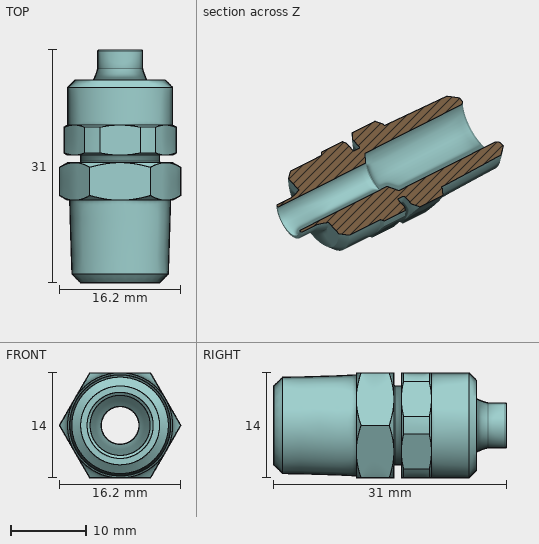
import cadquery as cq
import math


thread_chamfer_y = 1.2
thread_end_y = 11.0
body_hex_end_y = 16.0
nut_start_y = 17.0
nut_hex_end_y = 21.0
nut_end_y = 27.0
stem_flare_y = 28.5
stem_end_y = 31.0

thread_gauge_radius = 13.157 / 2
thread_gauge_y = 6.0
thread_radius_slope = 1 / 32
thread_tip_radius = thread_gauge_radius - (thread_gauge_y - thread_chamfer_y) * thread_radius_slope
thread_root_radius = thread_gauge_radius + (thread_end_y - thread_gauge_y) * thread_radius_slope
thread_face_radius = 5.25

across_flats = 14.0
across_corners = across_flats / math.cos(math.radians(30))
hex_chamfer_angle = math.radians(30)
hex_face_radius = across_flats / 2
nut_corner_radius = 7.5

neck_radius = 5.25
neck_fillet = 0.2
sleeve_radius = across_flats / 2
sleeve_chamfer = 1.0
stem_radius = 3.0
stem_flare_radius = 3.55
flare_hollow = 0.03
stem_edge_fillet = 0.2

arc_middle_offset = 1 - math.sin(math.radians(45))

through_radius = 2.5
bore_radius = 4.0
bore_mouth_radius = 4.4
bore_mouth_depth = bore_mouth_radius - bore_radius
bore_depth = body_hex_end_y
drill_half_angle = math.radians(60)
drill_tip_depth = (bore_radius - through_radius) / math.tan(drill_half_angle)


def revolve_about_y(profile):
    """Revolve a closed (radius, Y) profile a full turn about the Y axis."""
    return profile.close().revolve(360, (0, 0, 0), (0, 1, 0))


def chamfered_hex(start_y, end_y, corner_radius):
    """Hexagon with flats facing +-Z, its corners turned to corner_radius and coned at both ends."""
    length = end_y - start_y
    prism = (
        cq.Workplane("XZ", origin=(0, start_y, 0))
        .polygon(6, across_corners)
        .extrude(-length)
    )
    cone_length = (corner_radius - hex_face_radius) * math.tan(hex_chamfer_angle)
    envelope = revolve_about_y(
        cq.Workplane("XY").polyline([
            (0, start_y),
            (hex_face_radius, start_y),
            (corner_radius, start_y + cone_length),
            (corner_radius, end_y - cone_length),
            (hex_face_radius, end_y),
            (0, end_y),
        ])
    )
    return prism.intersect(envelope)


def turned_core():
    """Thread, neck, nut sleeve and flared stem as one turned shape."""
    flare_middle = (
        (stem_radius + stem_flare_radius) / 2 - flare_hollow,
        (nut_end_y + stem_flare_y) / 2 - flare_hollow,
    )
    neck_fillet_middle = (
        neck_radius + neck_fillet * arc_middle_offset,
        body_hex_end_y + neck_fillet * arc_middle_offset,
    )
    stem_edge_middle = (
        stem_radius - stem_edge_fillet * arc_middle_offset,
        stem_end_y - stem_edge_fillet * arc_middle_offset,
    )
    return revolve_about_y(
        cq.Workplane("XY")
        .moveTo(0, 0)
        .lineTo(thread_face_radius, 0)
        .lineTo(thread_tip_radius, thread_chamfer_y)
        .lineTo(thread_root_radius, thread_end_y)
        .lineTo(neck_radius + neck_fillet, thread_end_y)
        .lineTo(neck_radius + neck_fillet, body_hex_end_y)
        .threePointArc(neck_fillet_middle, (neck_radius, body_hex_end_y + neck_fillet))
        .lineTo(neck_radius, nut_hex_end_y)
        .lineTo(sleeve_radius, nut_hex_end_y)
        .lineTo(sleeve_radius, nut_end_y - sleeve_chamfer)
        .lineTo(sleeve_radius - sleeve_chamfer, nut_end_y)
        .lineTo(stem_flare_radius, nut_end_y)
        .threePointArc(flare_middle, (stem_radius, stem_flare_y))
        .lineTo(stem_radius, stem_end_y - stem_edge_fillet)
        .threePointArc(stem_edge_middle, (stem_radius - stem_edge_fillet, stem_end_y))
        .lineTo(0, stem_end_y)
    )


def bore():
    """Chamfered mouth, wide bore with a drill-point floor, then the through hole."""
    return revolve_about_y(
        cq.Workplane("XY").polyline([
            (0, 0),
            (bore_mouth_radius, 0),
            (bore_radius, bore_mouth_depth),
            (bore_radius, bore_depth),
            (through_radius, bore_depth + drill_tip_depth),
            (through_radius, stem_end_y),
            (0, stem_end_y),
        ])
    )


body_hex = chamfered_hex(thread_end_y, body_hex_end_y, across_corners / 2)
nut_hex = chamfered_hex(nut_start_y, nut_hex_end_y, nut_corner_radius)

result = turned_core().union(body_hex).union(nut_hex).cut(bore())